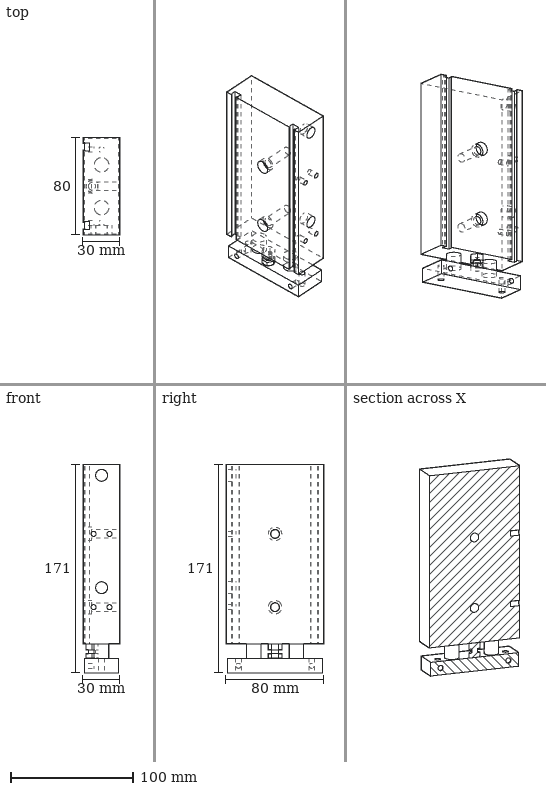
import cadquery as cq
import math

housing_depth = 30.0
housing_width = 80.0
housing_height = 147.0

plate_depth = 28.0
plate_width = 78.0
plate_height = 12.0
gap = 12.0
housing_bottom = plate_height + gap
housing_top = housing_bottom + housing_height

rod_diameter = 12.0
rod_spacing = 35.0

slot_spacing = 64.5
slot_opening = 5.2
slot_head_width = 6.5
slot_lip = 1.0
slot_taper = 0.5
slot_depth = 5.0

mount_levels = [housing_top - 57.0, housing_top - 117.0]
mount_diameter = 7.0
counterbore_diameter = 11.0
counterbore_depth = 6.6

thread_diameter = 4.13
thread_depth = 8.0
side_thread_spacing = 13.0
port_levels = [housing_top - 9.0, housing_top - 101.0]
port_diameter = 9.73
port_depth = 8.0

plate_thread_spacing = 60.0

plate_hole_spacing = 60.0
plate_hole_diameter = 4.7

bolt_x = -7.9
bolt_diameter = 6.0
hex_flats = 10.0
hex_corners = hex_flats / math.cos(math.radians(30))
head_height = 4.0
nut_height = 5.0
head_face_diameter = 9.3
head_chamfer_angle = 30.0


def cylinder_along(start, direction, diameter, length):
    """Solid cylinder from a start point along a direction."""
    return cq.Workplane(
        cq.Solid.makeCylinder(diameter / 2, length, cq.Vector(*start), cq.Vector(*direction))
    )


def make_slot(center_y):
    """T-slot with sloping shoulders, running the full height of the -X face."""
    face_x = -housing_depth / 2
    half_profile = [
        (face_x, slot_opening / 2),
        (face_x + slot_lip, slot_opening / 2),
        (face_x + slot_lip + slot_taper, slot_head_width / 2),
        (face_x + slot_depth, slot_head_width / 2),
    ]
    other_half = [(x, -y) for x, y in reversed(half_profile)]
    return (
        cq.Workplane("XY", origin=(0, center_y, housing_bottom))
        .polyline(half_profile + other_half)
        .close()
        .extrude(housing_height)
    )


def make_housing():
    body = cq.Workplane("XY", origin=(0, 0, housing_bottom)).box(
        housing_depth, housing_width, housing_height, centered=(True, True, False)
    )
    for side in (-1, 1):
        body = body.cut(make_slot(side * slot_spacing / 2))

    face_x = -housing_depth / 2
    for level in mount_levels:
        start = (face_x, 0, level)
        body = body.cut(cylinder_along(start, (1, 0, 0), mount_diameter, housing_depth))
        body = body.cut(cylinder_along(start, (1, 0, 0), counterbore_diameter, counterbore_depth))

    face_y = -housing_width / 2
    for level in mount_levels:
        for side in (-1, 1):
            start = (side * side_thread_spacing / 2, face_y, level)
            body = body.cut(cylinder_along(start, (0, 1, 0), thread_diameter, thread_depth))
    for level in port_levels:
        body = body.cut(cylinder_along((0, face_y, level), (0, 1, 0), port_diameter, port_depth))
    return body


def make_rod_plate():
    """End plate carrying the two guide rods that reach up to the housing."""
    body = cq.Workplane("XY").box(plate_depth, plate_width, plate_height, centered=(True, True, False))
    for side in (-1, 1):
        rod_start = (0, side * rod_spacing / 2, plate_height)
        body = body.union(cylinder_along(rod_start, (0, 0, 1), rod_diameter, gap))
        thread_start = (-plate_depth / 2, side * plate_thread_spacing / 2, plate_height / 2)
        body = body.cut(cylinder_along(thread_start, (1, 0, 0), thread_diameter, thread_depth))
        hole_start = (0, side * plate_hole_spacing / 2, 0)
        body = body.cut(cylinder_along(hole_start, (0, 0, 1), plate_hole_diameter, plate_height))
    return body


def make_hexagon(bottom, height):
    """Hexagonal prism on the bolt axis, with two corners pointing along Y."""
    return (
        cq.Workplane("XY", origin=(bolt_x, 0, bottom))
        .transformed(rotate=(0, 0, 90))
        .polygon(6, hex_corners)
        .extrude(height)
    )


def make_stop_bolt():
    chamfer_rise = (hex_corners - head_face_diameter) / 2 * math.tan(math.radians(head_chamfer_angle))
    cone = (
        cq.Workplane("XZ", origin=(bolt_x, 0, plate_height))
        .polyline([
            (0, 0),
            (head_face_diameter / 2, 0),
            (hex_corners / 2, chamfer_rise),
            (hex_corners / 2, head_height),
            (0, head_height),
        ])
        .close()
        .revolve(360, (0, 0, 0), (0, 1, 0))
    )
    head = make_hexagon(plate_height, head_height).intersect(cone)
    nut = make_hexagon(housing_bottom - nut_height, nut_height)
    shank = cylinder_along((bolt_x, 0, plate_height), (0, 0, 1), bolt_diameter, gap)
    return shank.union(head).union(nut)


housing = make_housing()
rod_plate = make_rod_plate()
stop_bolt = make_stop_bolt()

result = cq.Compound.makeCompound([housing.val(), rod_plate.val(), stop_bolt.val()])